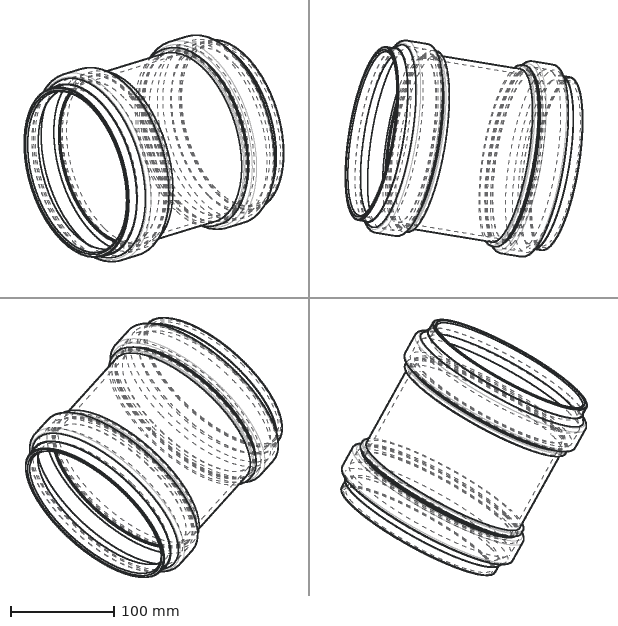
import cadquery as cq

length = 188.0
half_length = length / 2

tube_radius = 170.1 / 2
bore_radius = 160.7 / 2
bore_edge_chamfer = 1.1

mouth_radius = 161.0 / 2
mouth_chamfer = 1.5
rim_chamfer = 0.8

cone_start = 10.0
cone_start_radius = 85.7
cone_end_radius = 179.4 / 2

bead_radius = 188.8 / 2
bead_start = 17.0
bead_end = 43.6
bead_fillet = 3.0

collar_end = 45.0
collar_radius = 85.7

groove_radius = 89.1
groove_start = 14.3
flare_end = 24.2
groove_end = 39.5

ring_radius = 178.0 / 2
ring_start = 46.5
ring_end = 51.4
ring_fillet = 1.0


def band(radius, start, end):
    """Solid disc centred on Y, between two depths from the -Y mouth."""
    plane = cq.Workplane("XZ", origin=(0, start - half_length, 0))
    return plane.circle(radius).extrude(start - end)


def cone(start_radius, end_radius, start, end):
    """Solid frustum centred on Y, between two depths from the -Y mouth."""
    outline = [
        (0, start - half_length),
        (start_radius, start - half_length),
        (end_radius, end - half_length),
        (0, end - half_length),
    ]
    return cq.Workplane("XY").polyline(outline).close().revolve(360, (0, 0, 0), (0, 1, 0))


def socket_outside():
    """Cone, rounded bead, collar and stop ring of the -Y socket."""
    lead_cone = cone(cone_start_radius, cone_end_radius, cone_start, bead_start)
    bead = band(bead_radius, bead_start, bead_end).edges().fillet(bead_fillet)
    collar = cone(bead_radius - bead_fillet, collar_radius, bead_end - bead_fillet, collar_end)
    collar = collar.intersect(band(collar_radius, bead_start, collar_end))
    ring = band(ring_radius, ring_start, ring_end).edges().fillet(ring_fillet)
    return lead_cone.union(bead).union(collar).union(ring)


def socket_inside():
    """Mouth, flared seal groove and bevelled bore entry of the -Y socket."""
    mouth = band(mouth_radius, 0, groove_start)
    mouth_bevel = cone(mouth_radius + mouth_chamfer, mouth_radius, 0, mouth_chamfer)
    flare = cone(mouth_radius, groove_radius, groove_start, flare_end)
    groove = band(groove_radius, flare_end, groove_end)
    bore_bevel = cone(
        bore_radius + bore_edge_chamfer, bore_radius, groove_end, groove_end + bore_edge_chamfer
    )
    return mouth.union(mouth_bevel).union(flare).union(groove).union(bore_bevel)


def at_both_ends(feature):
    """The feature of the -Y socket together with its mirror image."""
    return feature.union(feature.mirror("XZ"))


tube = band(tube_radius, 0, length).edges().chamfer(rim_chamfer)
bore = band(bore_radius, 0, length)
result = tube.union(at_both_ends(socket_outside()))
result = result.cut(bore).cut(at_both_ends(socket_inside()))